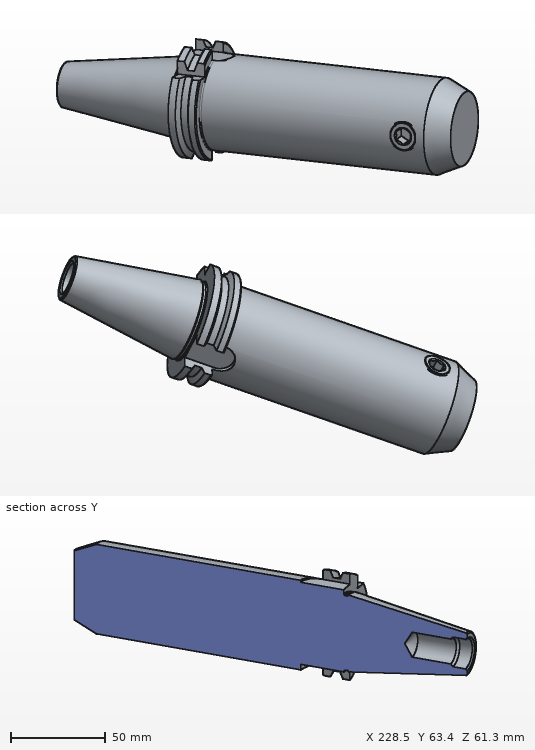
import cadquery as cq
import math

TOTAL_LENGTH = 228.5

TAPER_LENGTH = 69.0
TAPER_LARGE_RADIUS = 22.4
TAPER_RATIO = 7 / 24
TAPER_SMALL_RADIUS = TAPER_LARGE_RADIUS - TAPER_LENGTH * TAPER_RATIO / 2
TAPER_END_CHAMFER = 0.7
RELIEF_RADIUS = 21.7
RELIEF_FLANK = 0.7

FLANGE_START = 71.7
FLANGE_END = 87.5
FLANGE_RADIUS = 31.7
FLANGE_CHAMFER = 0.7
GROOVE_CENTRE = 79.5
GROOVE_RADIUS = 28.0
GROOVE_FLOOR_WIDTH = 3.9
GROOVE_FLANK_ANGLE = 25.0
GROOVE_FLANK = (FLANGE_RADIUS - GROOVE_RADIUS) * math.tan(math.radians(GROOVE_FLANK_ANGLE))

BODY_RADIUS = 26.0
BODY_FILLET = 0.7
NOSE_START = 215.4
NOSE_RADIUS = 20.0

SLOT_WIDTH = 16.0
SLOT_END = 96.5
UPPER_SLOT_FLOOR = 25.0
LOWER_SLOT_FLOOR = 22.8

NOTCH_OFFSET = 18.5

BORE_RADIUS = 8.5
BORE_CHAMFER = 1.0
BORE_DEPTH = 8.2
BORE_STEP_ANGLE = 90.0
THREAD_RADIUS = 7.0
BORE_STEP = (BORE_RADIUS - THREAD_RADIUS) / math.tan(math.radians(BORE_STEP_ANGLE / 2))
THREAD_END = 32.0
DRILL_POINT_ANGLE = 118.0
DRILL_POINT = THREAD_RADIUS / math.tan(math.radians(DRILL_POINT_ANGLE / 2))

SCREW_X = 203.3
SCREW_RADIUS = 8.0
SCREW_MOUTH_RADIUS = 7.0
SCREW_CHAMFER = 0.7
SCREW_FACE = 25.4
SCREW_LENGTH = 16.0
SOCKET_FLATS = 8.0
SOCKET_CORNER_RADIUS = SOCKET_FLATS / math.sqrt(3)
SOCKET_DEPTH = 8.0
SOCKET_COUNTERSINK = 0.2


def turned_blank():
    outline = (
        cq.Workplane("XZ")
        .moveTo(0, 0)
        .lineTo(0, TAPER_SMALL_RADIUS - TAPER_END_CHAMFER)
        .lineTo(TAPER_END_CHAMFER, TAPER_SMALL_RADIUS + TAPER_END_CHAMFER * TAPER_RATIO / 2)
        .lineTo(TAPER_LENGTH, TAPER_LARGE_RADIUS)
        .lineTo(TAPER_LENGTH + RELIEF_FLANK, RELIEF_RADIUS)
        .lineTo(FLANGE_START - RELIEF_FLANK, RELIEF_RADIUS)
        .lineTo(FLANGE_START, TAPER_LARGE_RADIUS)
        .lineTo(FLANGE_START, FLANGE_RADIUS)
        .lineTo(GROOVE_CENTRE - GROOVE_FLOOR_WIDTH / 2 - GROOVE_FLANK, FLANGE_RADIUS)
        .lineTo(GROOVE_CENTRE - GROOVE_FLOOR_WIDTH / 2, GROOVE_RADIUS)
        .lineTo(GROOVE_CENTRE + GROOVE_FLOOR_WIDTH / 2, GROOVE_RADIUS)
        .lineTo(GROOVE_CENTRE + GROOVE_FLOOR_WIDTH / 2 + GROOVE_FLANK, FLANGE_RADIUS)
        .lineTo(FLANGE_END - FLANGE_CHAMFER, FLANGE_RADIUS)
        .lineTo(FLANGE_END, FLANGE_RADIUS - FLANGE_CHAMFER)
        .lineTo(FLANGE_END, BODY_RADIUS + BODY_FILLET)
        .radiusArc((FLANGE_END + BODY_FILLET, BODY_RADIUS), -BODY_FILLET)
        .lineTo(NOSE_START, BODY_RADIUS)
        .lineTo(TOTAL_LENGTH, NOSE_RADIUS)
        .lineTo(TOTAL_LENGTH, 0)
        .close()
    )
    return outline.revolve(360, (0, 0, 0), (1, 0, 0))


def drive_slot(floor, side):
    """Cutter for one drive slot; side is 1 for +Z and -1 for -Z."""
    end_centre = SLOT_END - SLOT_WIDTH / 2
    return (
        cq.Workplane("XY", origin=(0, 0, side * floor))
        .moveTo(FLANGE_START, -SLOT_WIDTH / 2)
        .lineTo(end_centre, -SLOT_WIDTH / 2)
        .threePointArc((SLOT_END, 0), (end_centre, SLOT_WIDTH / 2))
        .lineTo(FLANGE_START, SLOT_WIDTH / 2)
        .close()
        .extrude(side * FLANGE_RADIUS)
    )


def orientation_notch():
    return (
        cq.Workplane("XY", origin=(FLANGE_START, -NOTCH_OFFSET, NOTCH_OFFSET))
        .box(FLANGE_END - FLANGE_START, FLANGE_RADIUS, FLANGE_RADIUS, centered=False)
        .translate((0, -FLANGE_RADIUS, 0))
    )


def draw_bar_bore():
    outline = (
        cq.Workplane("XZ")
        .moveTo(0, 0)
        .lineTo(0, BORE_RADIUS + BORE_CHAMFER)
        .lineTo(BORE_CHAMFER, BORE_RADIUS)
        .lineTo(BORE_DEPTH, BORE_RADIUS)
        .lineTo(BORE_DEPTH + BORE_STEP, THREAD_RADIUS)
        .lineTo(THREAD_END, THREAD_RADIUS)
        .lineTo(THREAD_END + DRILL_POINT, 0)
        .close()
    )
    return outline.revolve(360, (0, 0, 0), (1, 0, 0))


def screw_blank():
    return (
        cq.Workplane("XZ", origin=(SCREW_X, -SCREW_FACE, 0))
        .circle(SCREW_RADIUS)
        .extrude(-SCREW_LENGTH)
        .faces("<Y")
        .chamfer(SCREW_CHAMFER)
    )


def screw_mouth():
    """Opening from the outer end of the screw out through the body surface."""
    return (
        cq.Workplane("XZ", origin=(SCREW_X, -SCREW_FACE, 0))
        .circle(SCREW_MOUTH_RADIUS)
        .extrude(BODY_RADIUS - SCREW_FACE)
    )


def build_holder():
    holder = turned_blank()
    holder = holder.cut(drive_slot(UPPER_SLOT_FLOOR, 1))
    holder = holder.cut(drive_slot(LOWER_SLOT_FLOOR, -1))
    holder = holder.cut(orientation_notch())
    holder = holder.cut(draw_bar_bore())
    holder = holder.cut(screw_blank())
    return holder.cut(screw_mouth())


def build_clamping_screw():
    socket = (
        cq.Workplane("XZ", origin=(SCREW_X, -SCREW_FACE, 0))
        .polygon(6, 2 * SOCKET_CORNER_RADIUS)
        .extrude(-SOCKET_DEPTH)
        .rotate((SCREW_X, 0, 0), (SCREW_X, 1, 0), 30)
    )
    countersink = cq.Workplane(
        cq.Solid.makeCone(
            SOCKET_CORNER_RADIUS + SOCKET_COUNTERSINK,
            0,
            SOCKET_CORNER_RADIUS + SOCKET_COUNTERSINK,
            pnt=cq.Vector(SCREW_X, -SCREW_FACE, 0),
            dir=cq.Vector(0, 1, 0),
        )
    )
    return screw_blank().cut(socket).cut(countersink)


holder = build_holder()
clamping_screw = build_clamping_screw()

result = cq.Compound.makeCompound([holder.solids().val(), clamping_screw.solids().val()])